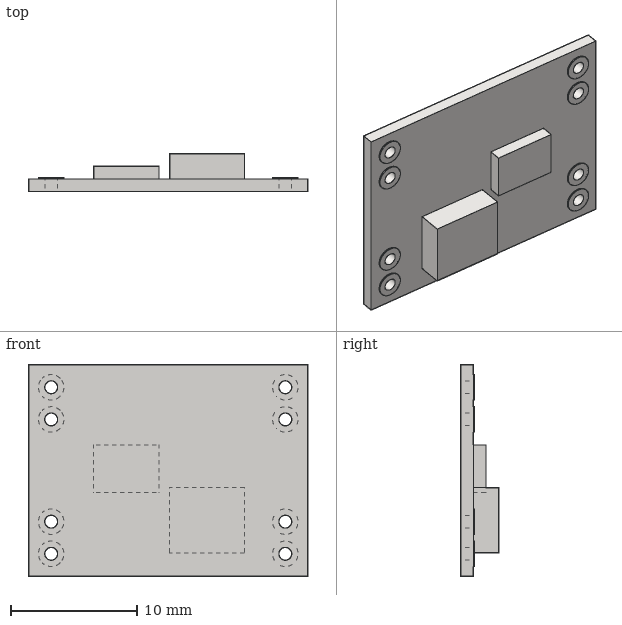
import cadquery as cq

board_width = 22.1
board_height = 16.75
board_thickness = 1.0

hole_diameter = 1.0
pad_diameter = 2.01
pad_thickness = 0.1
hole_inset = 1.8
hole_pitch = 2.55

low_chip_left = 5.15
low_chip_bottom = 6.65
low_chip_width = 5.17
low_chip_length = 3.75
low_chip_height = 1.02

tall_chip_left = 11.15
tall_chip_bottom = 1.85
tall_chip_width = 5.92
tall_chip_length = 5.17
tall_chip_height = 2.01


def block(left, front, bottom, width, depth, height):
    """Box placed by its lower left front corner."""
    box = cq.Workplane("XY").box(width, depth, height, centered=False)
    return box.translate((left, front, bottom))


def cylinders(points, diameter, front, back):
    """Cylinders along Y at the given (x, z) points."""
    plane = cq.Workplane("XZ", origin=(0, back, 0))
    return plane.pushPoints(points).circle(diameter / 2).extrude(back - front)


hole_points = []
for x in (hole_inset, board_width - hole_inset):
    for offset in (hole_inset, hole_inset + hole_pitch):
        hole_points.append((x, offset))
        hole_points.append((x, board_height - offset))

board = block(0, 0, 0, board_width, board_thickness, board_height)
pad_back = board_thickness + pad_thickness
pads = cylinders(hole_points, pad_diameter, board_thickness, pad_back)
holes = cylinders(hole_points, hole_diameter, 0, pad_back)

low_chip = block(
    low_chip_left, board_thickness, low_chip_bottom,
    low_chip_width, low_chip_height, low_chip_length,
)
tall_chip = block(
    tall_chip_left, board_thickness, tall_chip_bottom,
    tall_chip_width, tall_chip_height, tall_chip_length,
)

result = board.union(pads).cut(holes).union(low_chip).union(tall_chip).clean()